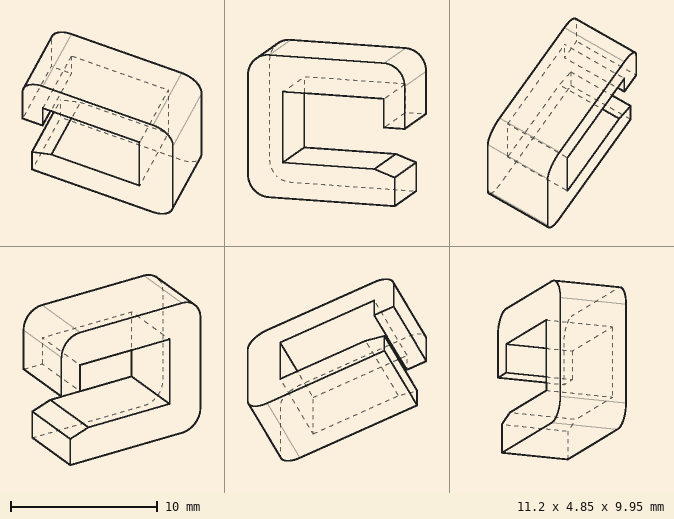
import cadquery as cq

length = 11.2
width = 4.85
height = 9.95

wall = 2.5
corner_radius = 1.5

hook_thickness = 1.5
hook_drop = 4.5

lip_setback = 0.7
lip_height = 2.0
taper_length = 1.46

right = length / 2
left = -right
top = height / 2
bottom = -top
lip_left = left + lip_setback

outline = [
    (lip_left, bottom),
    (right, bottom),
    (right, top),
    (left, top),
    (left, top - hook_drop),
    (left + hook_thickness, top - hook_drop),
    (left + hook_thickness, top - wall),
    (right - wall, top - wall),
    (right - wall, bottom + wall),
    (lip_left + taper_length, bottom + wall),
    (lip_left, bottom + lip_height),
]
clip = cq.Workplane("XZ").polyline(outline).close().extrude(width / 2, both=True)

clip = clip.edges("|Y and >Z").fillet(corner_radius)
lower_right_corner = cq.selectors.NearestToPointSelector((right, 0, bottom))
result = clip.edges(lower_right_corner).fillet(corner_radius)